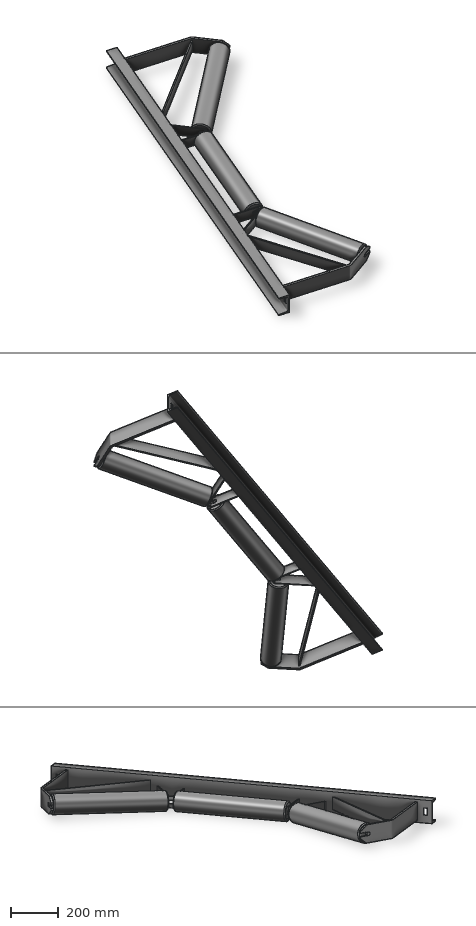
import cadquery as cq
import math

BEAM_LENGTH = 1700.0
BEAM_HEIGHT = 100.0
BEAM_DEPTH = 50.0
WEB_THICKNESS = 7.0
FLANGE_THICKNESS = 8.0
FLANGE_TAPER = 0.08
ROOT_RADIUS = 8.0
TIP_RADIUS = 3.0
MOUNT_SLOT_WIDTH = 15.0
MOUNT_SLOT_HEIGHT = 30.0
MOUNT_SLOT_INSET = 29.0

ROLLER_LENGTH = 502.0
ROLLER_RADIUS = 45.0
RIM_CHAMFER = 5.0
SHAFT_RADIUS = 7.6
END_GAP = 2.5
SIDE_ROLLER_ANGLE = 34.3
TILT_ANGLE = 2.2
MIDDLE_ROLLER_Y = 167.0

LEG_ANGLE = 35.0
OUTER_WIDTH = 80.0
OUTER_THICKNESS = 10.0
OUTER_FACE_X = 785.0
OUTER_BEND_Y = 365.0
OUTER_BEND_RADIUS = 17.0
OUTER_TOP_Y = 500.0
OUTER_CORNER_ALONG = 30.0
OUTER_CORNER_ACROSS = 24.0
SHAFT_TO_OUTER_TOP = 40.0
INNER_WIDTH = 51.0
INNER_THICKNESS = 5.0
INNER_TOP_Y = 190.0

SLOT_CUT_DEPTH = 27.0
SLOT_CUT_LENGTH = 51.0

BRACE_THICKNESS = 7.0
BRACE_WIDTH = 56.0
BRACE_TOP_Y = 370.0
BRACE_FOOT_X = 406.0

LEG_SIN = math.sin(math.radians(LEG_ANGLE))
LEG_COS = math.cos(math.radians(LEG_ANGLE))
LEG_UP = cq.Vector(LEG_SIN, LEG_COS)
LEG_NORMAL = cq.Vector(LEG_COS, -LEG_SIN)
ROLLER_TURN = math.radians(SIDE_ROLLER_ANGLE)
ROLLER_TILT = math.radians(TILT_ANGLE)
SIDE_AXIS = cq.Vector(
    math.cos(ROLLER_TURN) * math.cos(ROLLER_TILT),
    -math.sin(ROLLER_TURN) * math.cos(ROLLER_TILT),
    -math.sin(ROLLER_TILT),
)
MIDDLE_AXIS = cq.Vector(1, 0, 0)

OUTER_CORNER = cq.Vector(-OUTER_FACE_X, OUTER_BEND_Y)
OUTER_LEG_LENGTH = (OUTER_TOP_Y - OUTER_BEND_Y) / LEG_COS
OUTER_TIP = OUTER_CORNER + LEG_UP * OUTER_LEG_LENGTH
OUTER_SHAFT = OUTER_TIP - LEG_UP * SHAFT_TO_OUTER_TOP
SIDE_ROLLER_START = OUTER_SHAFT + SIDE_AXIS * (OUTER_THICKNESS + END_GAP)
INNER_SHAFT = SIDE_ROLLER_START + SIDE_AXIS * (ROLLER_LENGTH + END_GAP)
MIDDLE_ROLLER_START = cq.Vector(-ROLLER_LENGTH / 2, MIDDLE_ROLLER_Y, INNER_SHAFT.z)
INNER_FACE_X = ROLLER_LENGTH / 2 + END_GAP


def point_xy(vector):
    return (vector.x, vector.y)


def mirrored_pair(solid):
    return [solid.val(), solid.mirror("YZ").val()]


def upright(outline, width):
    """Extrude a closed XY outline to a given width, centred on Z = 0."""
    return outline.close().extrude(width / 2, both=True)


def make_beam():
    half_height = BEAM_HEIGHT / 2
    web_front = BEAM_DEPTH - WEB_THICKNESS
    tip_rise = FLANGE_TAPER * BEAM_DEPTH / 2
    tip_z = half_height - FLANGE_THICKNESS + tip_rise
    root_z = tip_z - FLANGE_TAPER * web_front
    beam = (
        cq.Workplane("YZ")
        .moveTo(BEAM_DEPTH, -half_height)
        .lineTo(BEAM_DEPTH, half_height)
        .lineTo(0, half_height)
        .lineTo(0, tip_z)
        .lineTo(web_front, root_z)
        .lineTo(web_front, -root_z)
        .lineTo(0, -tip_z)
        .lineTo(0, -half_height)
        .close()
        .extrude(BEAM_LENGTH / 2, both=True)
    )
    for radius, y, z in ((ROOT_RADIUS, web_front, root_z), (TIP_RADIUS, 0, tip_z)):
        for side in (1, -1):
            edge = cq.selectors.NearestToPointSelector((0, y, side * z))
            beam = beam.edges("|X").edges(edge).fillet(radius)
    slot_x = BEAM_LENGTH / 2 - MOUNT_SLOT_INSET
    slots = (
        cq.Workplane("XZ")
        .pushPoints([(-slot_x, 0), (slot_x, 0)])
        .rect(MOUNT_SLOT_WIDTH, MOUNT_SLOT_HEIGHT)
        .extrude(-BEAM_DEPTH)
    )
    return beam.cut(slots)


def make_roller(start, axis, first_stub, last_stub):
    """Barrel from start along axis, with a shaft stub of given length at each end."""
    plane = cq.Plane(origin=start.toTuple(), xDir=(axis.y, -axis.x, 0), normal=axis.toTuple())
    barrel = (
        cq.Workplane(plane)
        .circle(ROLLER_RADIUS)
        .extrude(ROLLER_LENGTH)
        .edges("%CIRCLE")
        .chamfer(RIM_CHAMFER)
    )
    shaft = (
        cq.Workplane(plane)
        .workplane(offset=-first_stub)
        .circle(SHAFT_RADIUS)
        .extrude(first_stub + ROLLER_LENGTH + last_stub)
    )
    return barrel.union(shaft)


def make_shaft_slot(centre, axis):
    """Cutter for a round-bottomed slot around a shaft, open upward in the XY plane."""
    plane = cq.Plane(
        origin=(centre - axis * (SLOT_CUT_DEPTH / 2)).toTuple(),
        xDir=(-axis.y, axis.x, 0),
        normal=axis.toTuple(),
    )
    bottom = cq.Workplane(plane).circle(SHAFT_RADIUS).extrude(SLOT_CUT_DEPTH)
    mouth = (
        cq.Workplane(plane)
        .center(SLOT_CUT_LENGTH / 2, 0)
        .rect(SLOT_CUT_LENGTH, 2 * SHAFT_RADIUS)
        .extrude(SLOT_CUT_DEPTH)
    )
    return bottom.union(mouth)


def make_outer_bracket():
    mitre = OUTER_THICKNESS * math.tan(math.radians(LEG_ANGLE / 2))
    inner_corner = OUTER_CORNER + cq.Vector(OUTER_THICKNESS, -mitre)
    outline = cq.Workplane("XY").polyline([
        (OUTER_CORNER.x, BEAM_DEPTH),
        point_xy(OUTER_CORNER),
        point_xy(OUTER_TIP),
        point_xy(OUTER_TIP + LEG_NORMAL * OUTER_THICKNESS),
        point_xy(inner_corner),
        (inner_corner.x, BEAM_DEPTH),
    ])
    bracket = upright(outline, OUTER_WIDTH)
    for corner, radius in (
        (OUTER_CORNER, OUTER_BEND_RADIUS),
        (inner_corner, OUTER_BEND_RADIUS - OUTER_THICKNESS),
    ):
        edge = cq.selectors.NearestToPointSelector(corner.toTuple())
        bracket = bracket.edges("|Z").edges(edge).fillet(radius)
    corners = (
        cq.Workplane(cq.Plane(OUTER_TIP.toTuple(), LEG_UP.toTuple(), LEG_NORMAL.toTuple()))
        .polyline([
            (0, OUTER_WIDTH / 2),
            (-OUTER_CORNER_ALONG, OUTER_WIDTH / 2),
            (0, OUTER_WIDTH / 2 - OUTER_CORNER_ACROSS),
        ])
        .close()
        .extrude(OUTER_THICKNESS)
    )
    slot = make_shaft_slot(OUTER_SHAFT, SIDE_AXIS)
    return bracket.cut(corners).cut(corners.mirror("XY")).cut(slot)


def make_inner_bracket():
    """Folded strip: a leg for the middle roller, a short bridge, and a sloping leg for the side roller."""

    def on_slope(point, y):
        """Point at height y on the line through point, along the sloping leg."""
        return (point.x + (y - point.y) * LEG_SIN / LEG_COS, y)

    bridge_under = INNER_TOP_Y - INNER_THICKNESS
    slope_back = INNER_SHAFT + LEG_NORMAL * INNER_THICKNESS
    outline = cq.Workplane("XY").polyline([
        (-INNER_FACE_X, BEAM_DEPTH),
        (-INNER_FACE_X, INNER_TOP_Y),
        on_slope(INNER_SHAFT, INNER_TOP_Y),
        on_slope(INNER_SHAFT, BEAM_DEPTH),
        on_slope(slope_back, BEAM_DEPTH),
        on_slope(slope_back, bridge_under),
        (-INNER_FACE_X - INNER_THICKNESS, bridge_under),
        (-INNER_FACE_X - INNER_THICKNESS, BEAM_DEPTH),
    ])
    bracket = upright(outline, INNER_WIDTH).translate((0, 0, INNER_SHAFT.z))
    side_slot = make_shaft_slot(INNER_SHAFT, SIDE_AXIS)
    middle_shaft = MIDDLE_ROLLER_START - MIDDLE_AXIS * END_GAP
    middle_slot = make_shaft_slot(middle_shaft, MIDDLE_AXIS)
    return bracket.cut(side_slot).cut(middle_slot)


def make_brace(outer_bracket):
    """Diagonal strip, trimmed to the inner face of the outer bracket."""
    bracket_x = OUTER_THICKNESS / 2 - OUTER_FACE_X
    angle = math.atan2(BRACE_TOP_Y - BEAM_DEPTH, -BRACE_FOOT_X - bracket_x)
    outline = cq.Workplane("XY").polyline([
        (bracket_x, BRACE_TOP_Y),
        (-BRACE_FOOT_X, BEAM_DEPTH),
        (-BRACE_FOOT_X - BRACE_THICKNESS / math.sin(angle), BEAM_DEPTH),
        (bracket_x, BRACE_TOP_Y - BRACE_THICKNESS / math.cos(angle)),
    ])
    return upright(outline, BRACE_WIDTH).cut(outer_bracket)


outer_stub = END_GAP + OUTER_THICKNESS
inner_stub = END_GAP + INNER_THICKNESS

beam = make_beam()
middle_roller = make_roller(MIDDLE_ROLLER_START, MIDDLE_AXIS, inner_stub, inner_stub)
side_roller = make_roller(SIDE_ROLLER_START, SIDE_AXIS, outer_stub, inner_stub)
outer_bracket = make_outer_bracket()
inner_bracket = make_inner_bracket()
brace = make_brace(outer_bracket)

result = cq.Compound.makeCompound([
    beam.val(),
    middle_roller.val(),
    *mirrored_pair(side_roller),
    *mirrored_pair(outer_bracket),
    *mirrored_pair(inner_bracket),
    *mirrored_pair(brace),
])